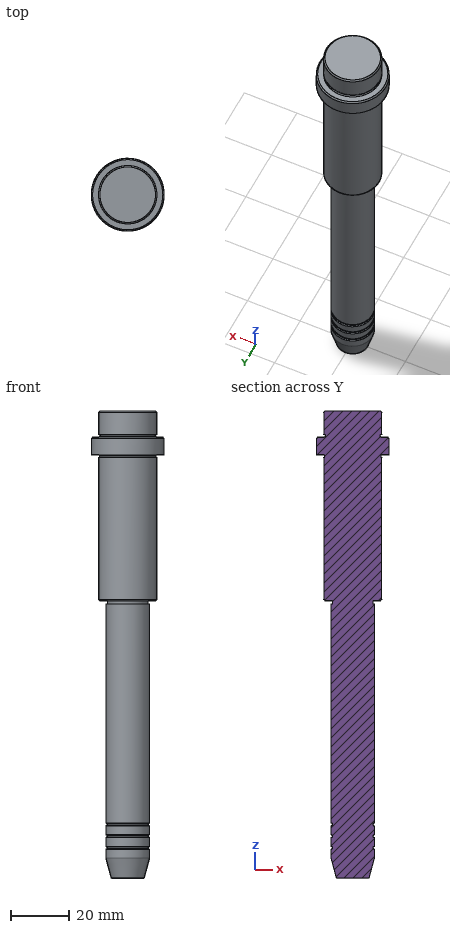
import cadquery as cq
import math

total_length = 160.0

collar_diameter = 25.0
body_diameter = 20.0
pin_diameter = 15.0

head_length = 9.0
collar_length = 6.0
pin_length = 95.0
tip_length = 7.0

edge_chamfer = 0.5
tip_angle = 15.0
tip_fillet = 0.5

groove_width = 1.0
wall_run = 0.25

head_relief_depth = 0.5
body_relief_depth = 0.25
pin_relief_depth = 0.5

oil_groove_count = 3
oil_groove_pitch = 4.0
oil_groove_depth = 0.4
first_oil_groove_bottom = 10.0

collar_top = total_length - head_length
collar_bottom = collar_top - collar_length


def revolve_profile(points):
    """Solid of revolution about Z from (radius, height) points."""
    return cq.Workplane("XZ").polyline(points).close().revolve(360, (0, 0, 0), (0, 1, 0))


def cylinder(diameter, bottom, top):
    """Cylinder on the Z axis between two heights."""
    return cq.Workplane("XY").workplane(offset=bottom).circle(diameter / 2).extrude(top - bottom)


def groove(diameter, bottom, depth, run):
    """Ring to cut from a cylinder; run is the axial length of each sloped wall (0 = square)."""
    radius = diameter / 2
    floor_radius = radius - depth
    top = bottom + groove_width
    return revolve_profile([
        (radius, bottom),
        (floor_radius, bottom + run),
        (floor_radius, top - run),
        (radius, top),
    ])


def make_pin():
    """Slim pin with a tapered, rounded tip, oil grooves and a square relief under the body."""
    radius = pin_diameter / 2
    tip_radius = radius - tip_length * math.tan(math.radians(tip_angle))
    pin = revolve_profile([
        (0, 0),
        (tip_radius, 0),
        (radius, tip_length),
        (radius, pin_length),
        (0, pin_length),
    ])
    pin = pin.faces("<Z").edges().fillet(tip_fillet)
    for index in range(oil_groove_count):
        groove_bottom = first_oil_groove_bottom + index * oil_groove_pitch
        pin = pin.cut(groove(pin_diameter, groove_bottom, oil_groove_depth, wall_run))
    return pin.cut(groove(pin_diameter, pin_length - groove_width, pin_relief_depth, 0))


def make_body():
    """Body and head in one cylinder, with chamfered ends and relieved collar shoulders."""
    body = cylinder(body_diameter, pin_length, total_length)
    body = body.faces("<Z or >Z").edges().chamfer(edge_chamfer)
    body = body.cut(groove(body_diameter, collar_top, head_relief_depth, wall_run))
    return body.cut(groove(body_diameter, collar_bottom - groove_width, body_relief_depth, wall_run))


def make_collar():
    """Collar with its top rim chamfered and its seating face left sharp."""
    collar = cylinder(collar_diameter, collar_bottom, collar_top)
    return collar.faces(">Z").edges().chamfer(edge_chamfer)


result = make_pin().union(make_body()).union(make_collar())